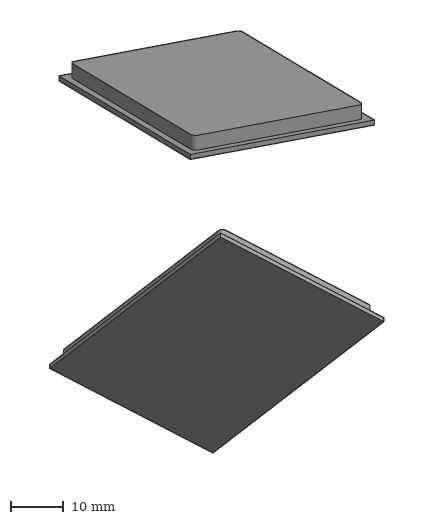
import cadquery as cq

plate_length = 51.0
plate_width = 40.0
plate_thickness = 1.0

total_height = 4.0
rim_width = 1.55
block_corner_radius = 1.0

block_length = plate_length - 2 * rim_width
block_width = plate_width - 2 * rim_width
block_height = total_height - plate_thickness

plate = cq.Workplane("XY").box(
    plate_length, plate_width, plate_thickness, centered=(True, True, False)
)

block = (
    cq.Workplane("XY")
    .workplane(offset=plate_thickness)
    .box(block_length, block_width, block_height, centered=(True, True, False))
    .edges("|Z")
    .fillet(block_corner_radius)
)

result = plate.union(block)